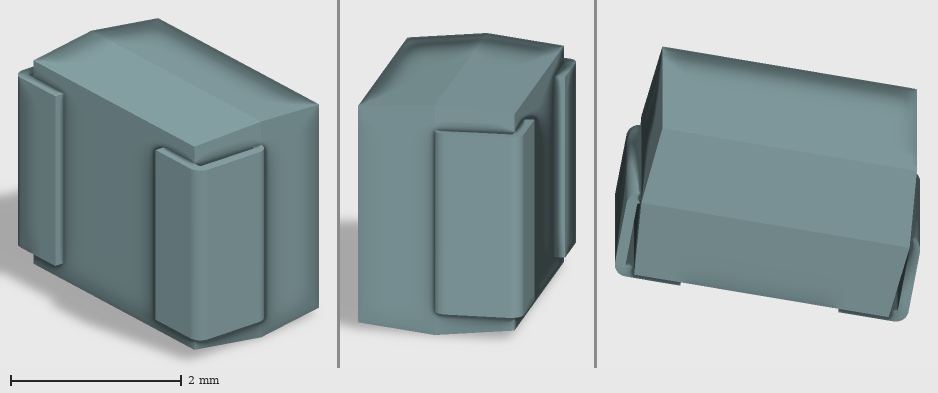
import cadquery as cq
import math

overall_length = 3.5
overall_depth = 2.0
case_height = 2.8

lead_thickness = 0.125
lead_height = 2.2
foot_length = 0.805
bend_radius = 0.15
inner_bend_radius = bend_radius - lead_thickness

draft_angle = 5.0
case_length = overall_length - 2 * bend_radius
half_depth = (overall_depth - lead_thickness) / 2
draft_inset = half_depth * math.tan(math.radians(draft_angle))
case_end_length = case_length - 2 * draft_inset
case_end_height = case_height - 2 * draft_inset


def case_half(side):
    """Half of the case, tapering from the parting plane towards +Y (side 1) or -Y (side -1)."""
    return (
        cq.Workplane("XZ")
        .rect(case_length, case_height)
        .workplane(offset=-side * half_depth)
        .rect(case_end_length, case_end_height)
        .loft(ruled=True)
    )


def lead(side, lower_case):
    """C-shaped lead at the +X (side 1) or -X (side -1) end, from the parting plane to under the case."""
    outer_face = side * overall_length / 2
    lead_depth = half_depth + lead_thickness
    outer_edges = "|Z and >X" if side > 0 else "|Z and <X"

    strip_block = (
        cq.Workplane("XY")
        .box(foot_length, lead_depth, lead_height)
        .edges(outer_edges)
        .fillet(bend_radius)
        .translate((outer_face - side * foot_length / 2, -lead_depth / 2, 0))
    )

    channel = (
        cq.Workplane("XY")
        .box(foot_length, lead_depth - 2 * lead_thickness, lead_height)
        .edges(outer_edges)
        .fillet(inner_bend_radius)
        .translate((outer_face - side * (lead_thickness + foot_length / 2), -lead_depth / 2, 0))
    )

    return strip_block.cut(channel).cut(lower_case)


upper_case = case_half(1)
lower_case = case_half(-1)
leads = [lead(side, lower_case) for side in (-1, 1)]

result = cq.Compound.makeCompound(
    [upper_case.val(), lower_case.val(), *[body.solids().val() for body in leads]]
)